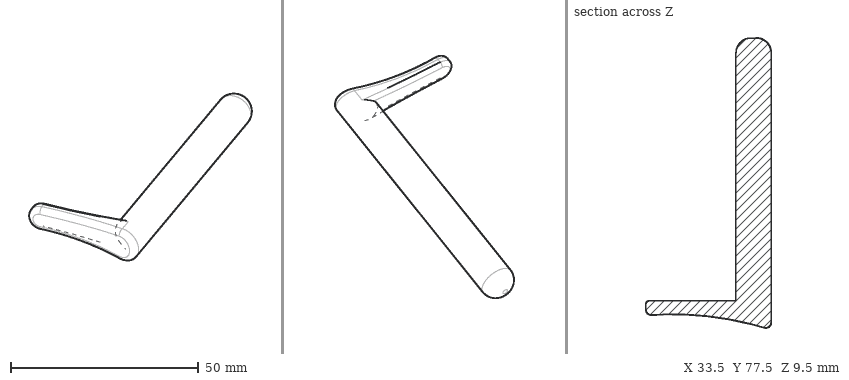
import cadquery as cq
import math

shaft_diameter = 9.5
shaft_radius = shaft_diameter / 2
shaft_end = 70.1
dome_radius = 4.0

overall_width = 33.5

tip_radius = 3.5
tip_x = shaft_radius + tip_radius - overall_width
waist_x = -21.3
waist_thickness = 3.7
hub_front_drop = 2.8
front_fillet = 1.55
back_fillet = 1.1
blank_depth = 15.5


def tangent_arc_radius(run, rise):
    """Radius of an arc that starts level and gains the given rise over the run."""
    return (run**2 + rise**2) / (2 * rise)


def make_shaft():
    shaft_start = -back_fillet
    return (
        cq.Workplane("XZ", origin=(0, shaft_start, 0))
        .circle(shaft_radius)
        .extrude(-(shaft_end - shaft_start))
        .faces(">Y")
        .edges()
        .fillet(dome_radius)
    )


def flank_points():
    """Middle and hub end of the concave flank, tangent to the tip and hub rounds."""
    radius = (tip_x**2 + tip_radius**2 - shaft_radius**2) / (2 * (shaft_radius - tip_radius))
    centre_z = tip_radius + radius
    to_hub = shaft_radius / (radius + shaft_radius)
    hub_x = tip_x * to_hub
    hub_z = centre_z * to_hub
    mid_x = (tip_x + hub_x) / 2
    mid_z = centre_z - math.sqrt(radius**2 - (mid_x - tip_x) ** 2)
    return (mid_x, mid_z), (hub_x, hub_z)


def make_lever():
    (mid_x, mid_z), (hub_x, hub_z) = flank_points()
    outline = (
        cq.Workplane("XZ")
        .moveTo(tip_x, tip_radius)
        .threePointArc((mid_x, mid_z), (hub_x, hub_z))
        .threePointArc((shaft_radius, 0), (hub_x, -hub_z))
        .threePointArc((mid_x, -mid_z), (tip_x, -tip_radius))
        .threePointArc((tip_x - tip_radius, 0), (tip_x, tip_radius))
        .close()
        .extrude(blank_depth)
    )

    radius = tangent_arc_radius(-waist_x, hub_front_drop)
    front_cutter = (
        cq.Workplane("XY", origin=(waist_x, -waist_thickness - radius, -shaft_radius))
        .circle(radius)
        .extrude(2 * shaft_radius)
    )
    lever = outline.cut(front_cutter)
    lever = lever.faces(">Y").edges().fillet(back_fillet)
    return lever.faces("<Y").edges().fillet(front_fillet)


result = make_shaft().union(make_lever())